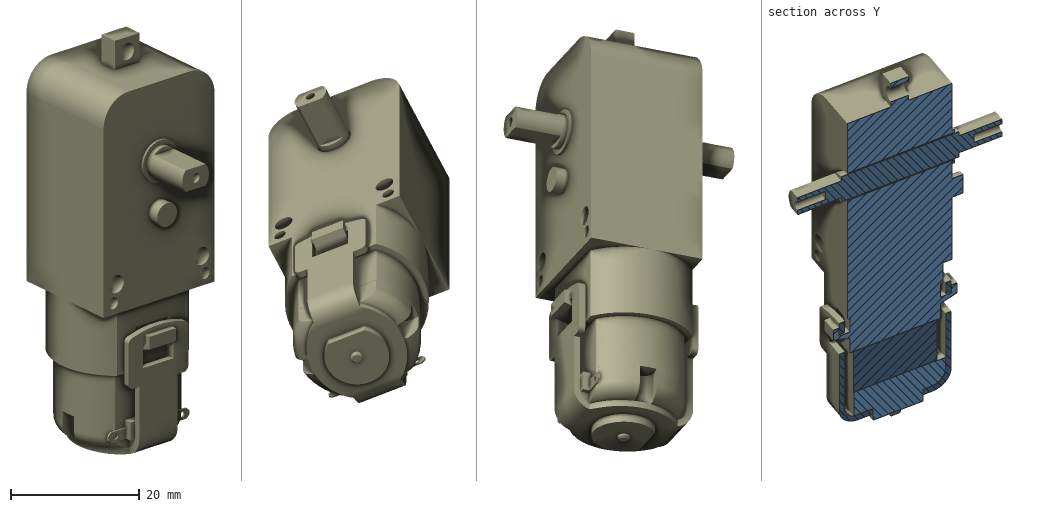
import cadquery as cq


TOTAL_HEIGHT = 70.25

BOX_WIDTH = 18.9
BOX_DEPTH = 22.5
BOX_HEIGHT = 37.15
BOX_CORNER_R = 5.0
TAB_WIDTH = 3.2
TAB_SIZE = 5.0
TAB_HOLE_D = 2.9
BIG_HOLE_D = 3.0
BIG_HOLE_Y = 8.65
BIG_HOLE_Z = 5.05
SMALL_HOLE_D = 2.0
SMALL_HOLE_Y = 9.3
SMALL_HOLE_Z = 2.0
SHAFT_BORE_D = 5.6
BEARING_BOSS_D = 7.2
BEARING_BOSS_LENGTH = 0.4
PEG_D = 4.0
PEG_LENGTH = 2.0
PEG_Z = 15.1

SHAFT_D = 5.4
SHAFT_LENGTH = 36.8
SHAFT_Z = 23.75
SHAFT_FLAT_HEIGHT = 3.65
SHAFT_LEFT_FLAT = 7.9
SHAFT_RIGHT_FLAT = 7.7
SHAFT_SCREW_D = 1.6
SHAFT_SCREW_DEPTH = 5.0

SEAT_D = BOX_DEPTH
SEAT_HALF_WIDTH = 8.65
SEAT_HEIGHT = 11.5
SEAT_RECESS_WIDTH = 6.8
SEAT_RECESS_TOP_Z = -4.2
SEAT_RECESS_DEPTH = 0.4
MOTOR_X = SEAT_HALF_WIDTH - BOX_WIDTH / 2

LUG_WIDTH = 5.35
LUG_REACH = 11.2
LUG_TOP_Z = -5.3
LUG_STEM_TOP_Z = -6.95
LUG_TIP_BOTTOM_Z = -7.45
LUG_ROOT_BOTTOM_Z = -8.35

CAN_D = 20.0
CAN_WIDTH = 15.0
CAN_HEIGHT = 8.6
CAN_EDGE_R = 0.55

CAP_WIDTH = 14.95
CAP_HEIGHT = 5.05
CAP_EDGE_R = 2.5
CAP_GROOVE_D = 2.9
CAP_GROOVE_Y = 8.2
CAP_BOSS_D = 10.1
CAP_BOSS_HEIGHT = 2.4
CAP_BOSS_FLAT_X = 4.0
BLOCK_DEPTH = 7.45
HOLDER_REACH = 8.85
HOLDER_DEPTH = 9.3
HOLDER_HEIGHT = 3.1
TERMINAL_THICKNESS = 0.3
TERMINAL_TIP_Y = 8.2
TERMINAL_HEIGHT = 1.8
TERMINAL_CHAMFER = 0.55
TERMINAL_HOLE_D = 1.0
TERMINAL_HOLE_Y = 6.75

TIP_D = 2.0
TIP_CHAMFER = 0.3

STRAP_HALF_WIDTH = 10.1
STRAP_THICKNESS = 1.05
STRAP_BEND_R = 3.5
STRAP_ARM_WIDTH = 7.8
STRAP_BASE_DEPTH = 15.45
HEAD_WIDTH = 12.1
HEAD_BOTTOM_Z = -13.8
HEAD_TOP_Z = -4.3
HEAD_SIDE_TOP_Z = -5.35
HEAD_CORNER_R = 0.9
WINDOW_WIDTH = 6.2
WINDOW_TOP_Z = -6.75
WINDOW_BOTTOM_Z = -10.8

SEAT_BOTTOM_Z = -SEAT_HEIGHT
CAN_BOTTOM_Z = SEAT_BOTTOM_Z - CAN_HEIGHT
CAP_BOTTOM_Z = CAN_BOTTOM_Z - CAP_HEIGHT
BOSS_BOTTOM_Z = CAP_BOTTOM_Z - CAP_BOSS_HEIGHT
TIP_HEIGHT = TOTAL_HEIGHT - (BOX_HEIGHT + TAB_SIZE) + BOSS_BOTTOM_Z
STRAP_BOTTOM_Z = CAP_BOTTOM_Z - STRAP_THICKNESS
STRAP_INNER = STRAP_HALF_WIDTH - STRAP_THICKNESS


def box(x0, x1, depth, z0, z1):
    """Box between two X and two Z values, centred on Y = 0."""
    return cq.Workplane().box(x1 - x0, depth, z1 - z0).translate(((x0 + x1) / 2, 0, (z0 + z1) / 2))


def rod_x(diameter, x0, x1, y, z):
    """Cylinder along X."""
    return cq.Workplane("YZ", origin=(x0, y, z)).circle(diameter / 2).extrude(x1 - x0)


def rod_z(diameter, z0, z1, x=MOTOR_X, y=0):
    """Cylinder along Z, on the motor axis unless placed elsewhere."""
    return cq.Workplane(origin=(x, y, z0)).circle(diameter / 2).extrude(z1 - z0)


def flatted_rod(diameter, width, z0, z1):
    """Cylinder on the motor axis with two flats facing -X and +X."""
    flats = box(MOTOR_X - width / 2, MOTOR_X + width / 2, diameter, z0, z1)
    return rod_z(diameter, z0, z1).intersect(flats)


def about_motor_axis(body):
    """Copy of a body turned half a turn about the motor axis."""
    return body.rotate((MOTOR_X, 0, 0), (MOTOR_X, 0, 1), 180)


def make_gearbox():
    side = BOX_WIDTH / 2
    body = box(-side, side, BOX_DEPTH, 0, BOX_HEIGHT)
    body = body.edges("|X and >Z").fillet(BOX_CORNER_R)
    tab_top = BOX_HEIGHT + TAB_SIZE
    body = body.union(box(-TAB_WIDTH / 2, TAB_WIDTH / 2, TAB_SIZE, BOX_HEIGHT, tab_top))
    boss_end = side + BEARING_BOSS_LENGTH
    body = body.union(rod_x(BEARING_BOSS_D, side, boss_end, 0, SHAFT_Z))
    body = body.union(rod_x(PEG_D, side, side + PEG_LENGTH, 0, PEG_Z))

    body = body.cut(rod_x(SHAFT_BORE_D, -side, boss_end, 0, SHAFT_Z))
    body = body.cut(rod_x(TAB_HOLE_D, -side, side, 0, BOX_HEIGHT + TAB_SIZE / 2))
    for sign in (-1, 1):
        body = body.cut(rod_x(BIG_HOLE_D, -side, side, sign * BIG_HOLE_Y, BIG_HOLE_Z))
        body = body.cut(rod_x(SMALL_HOLE_D, -side, side, sign * SMALL_HOLE_Y, SMALL_HOLE_Z))
    return body


def make_lug():
    """Hook on the -X side: a stem through the strap window and a head that rises outside it."""
    root = MOTOR_X - SEAT_HALF_WIDTH + SEAT_RECESS_DEPTH
    head_inner = MOTOR_X - STRAP_HALF_WIDTH
    outer = MOTOR_X - LUG_REACH
    outline = [
        (root, LUG_STEM_TOP_Z),
        (head_inner, LUG_STEM_TOP_Z),
        (head_inner, LUG_TOP_Z),
        (outer, LUG_TOP_Z),
        (outer, LUG_TIP_BOTTOM_Z),
        (root, LUG_ROOT_BOTTOM_Z),
    ]
    return cq.Workplane("XZ").polyline(outline).close().extrude(LUG_WIDTH / 2, both=True)


def make_motor_seat():
    body = flatted_rod(SEAT_D, 2 * SEAT_HALF_WIDTH, SEAT_BOTTOM_Z, 0)
    face_x = MOTOR_X - SEAT_HALF_WIDTH
    recess = box(face_x, face_x + SEAT_RECESS_DEPTH, SEAT_RECESS_WIDTH, SEAT_BOTTOM_Z, SEAT_RECESS_TOP_Z)
    lug = make_lug()
    body = body.cut(recess).cut(about_motor_axis(recess))
    return body.union(lug).union(about_motor_axis(lug))


def make_shaft():
    end = SHAFT_LENGTH / 2
    body = rod_x(SHAFT_D, -end, end, 0, SHAFT_Z)
    flat_low = SHAFT_Z - SHAFT_FLAT_HEIGHT / 2
    flat_high = SHAFT_Z + SHAFT_FLAT_HEIGHT / 2
    for x0, x1 in ((-end, -end + SHAFT_LEFT_FLAT), (end - SHAFT_RIGHT_FLAT, end)):
        body = body.cut(box(x0, x1, SHAFT_D, flat_high, flat_high + SHAFT_D))
        body = body.cut(box(x0, x1, SHAFT_D, flat_low - SHAFT_D, flat_low))
    body = body.cut(rod_x(SHAFT_SCREW_D, -end, -end + SHAFT_SCREW_DEPTH, 0, SHAFT_Z))
    return body.cut(rod_x(SHAFT_SCREW_D, end - SHAFT_SCREW_DEPTH, end, 0, SHAFT_Z))


def make_can():
    body = flatted_rod(CAN_D, CAN_WIDTH, CAN_BOTTOM_Z, SEAT_BOTTOM_Z)
    return body.edges("|Z").fillet(CAN_EDGE_R)


def make_terminal(side):
    """Thin tongue with a clipped tip, pointing to -Y (side -1) or +Y (side +1)."""
    x0 = MOTOR_X + CAP_WIDTH / 2
    z0 = CAN_BOTTOM_Z - HOLDER_HEIGHT
    z1 = z0 + TERMINAL_HEIGHT
    shoulder_y = side * (TERMINAL_TIP_Y - TERMINAL_CHAMFER)
    tip_y = side * TERMINAL_TIP_Y
    outline = [
        (0, z0),
        (shoulder_y, z0),
        (tip_y, z0 + TERMINAL_CHAMFER),
        (tip_y, z1 - TERMINAL_CHAMFER),
        (shoulder_y, z1),
        (0, z1),
    ]
    body = cq.Workplane("YZ", origin=(x0, 0, 0)).polyline(outline).close().extrude(TERMINAL_THICKNESS)
    hole = rod_x(TERMINAL_HOLE_D, x0, x0 + TERMINAL_THICKNESS, side * TERMINAL_HOLE_Y, (z0 + z1) / 2)
    return body.cut(hole)


def make_trough(half_width, bottom_z, bend_radius):
    """Block with two rounded bottom edges, from the strap bottom up to the strap top."""
    body = box(MOTOR_X - half_width, MOTOR_X + half_width, BOX_DEPTH, bottom_z, HEAD_TOP_Z)
    return body.edges("|Y and <Z").fillet(bend_radius)


def make_strap_inside():
    """Space inside the bent strap."""
    return make_trough(STRAP_INNER, CAP_BOTTOM_Z, STRAP_BEND_R - STRAP_THICKNESS)


def make_cap_groove(side):
    """Upright U-shaped groove open to -Y (side -1) or +Y (side +1)."""
    root_y = side * CAP_GROOVE_Y
    root = rod_z(CAP_GROOVE_D, CAP_BOTTOM_Z, CAN_BOTTOM_Z, y=root_y)
    half = CAP_GROOVE_D / 2
    mouth = box(MOTOR_X - half, MOTOR_X + half, CAN_D / 2, CAP_BOTTOM_Z, CAN_BOTTOM_Z)
    return root.union(mouth.translate((0, root_y + side * CAN_D / 4, 0)))


def make_cap():
    body = rod_z(CAN_D, CAP_BOTTOM_Z, CAN_BOTTOM_Z).faces("<Z").edges().fillet(CAP_EDGE_R)
    half = CAP_WIDTH / 2
    body = body.intersect(box(MOTOR_X - half, MOTOR_X + half, CAN_D, CAP_BOTTOM_Z, CAN_BOTTOM_Z))
    for sign in (-1, 1):
        body = body.cut(make_cap_groove(sign))

    body = body.union(box(MOTOR_X, MOTOR_X + STRAP_INNER, BLOCK_DEPTH, CAP_BOTTOM_Z, CAN_BOTTOM_Z))
    body = body.intersect(make_strap_inside())
    holder_z = CAN_BOTTOM_Z - HOLDER_HEIGHT
    body = body.union(box(MOTOR_X, MOTOR_X + HOLDER_REACH, HOLDER_DEPTH, holder_z, CAN_BOTTOM_Z))
    for side in (-1, 1):
        body = body.union(make_terminal(side))
    return body.union(make_cap_boss())


def make_cap_boss():
    """Round boss with one flat, reaching down through the strap."""
    boss = rod_z(CAP_BOSS_D, BOSS_BOTTOM_Z, CAP_BOTTOM_Z)
    keep = box(MOTOR_X - CAP_BOSS_FLAT_X, MOTOR_X + CAP_BOSS_D, CAP_BOSS_D, BOSS_BOTTOM_Z, CAP_BOTTOM_Z)
    return boss.intersect(keep)


def make_tip():
    tip = rod_z(TIP_D, BOSS_BOTTOM_Z - TIP_HEIGHT, BOSS_BOTTOM_Z)
    return tip.faces("<Z").chamfer(TIP_CHAMFER)


def make_strap_head():
    """Both strap heads with their windows, as one block across the whole strap."""
    half = HEAD_WIDTH / 2
    head = (
        cq.Workplane("YZ", origin=(MOTOR_X - STRAP_HALF_WIDTH, 0, 0))
        .moveTo(-half, HEAD_BOTTOM_Z)
        .lineTo(half, HEAD_BOTTOM_Z)
        .lineTo(half, HEAD_SIDE_TOP_Z)
        .threePointArc((0, HEAD_TOP_Z), (-half, HEAD_SIDE_TOP_Z))
        .close()
        .extrude(2 * STRAP_HALF_WIDTH)
    )
    head = head.edges("|X").fillet(HEAD_CORNER_R)
    x0 = MOTOR_X - STRAP_HALF_WIDTH
    x1 = MOTOR_X + STRAP_HALF_WIDTH
    return head.cut(box(x0, x1, WINDOW_WIDTH, WINDOW_BOTTOM_Z, WINDOW_TOP_Z))


def make_strap_base():
    """Bottom plate, bulging out to both sides between the arms."""
    half_x = CAP_WIDTH / 2
    half_y = STRAP_ARM_WIDTH / 2
    return (
        cq.Workplane(origin=(MOTOR_X, 0, STRAP_BOTTOM_Z))
        .moveTo(-half_x, -half_y)
        .threePointArc((0, -STRAP_BASE_DEPTH / 2), (half_x, -half_y))
        .lineTo(half_x, half_y)
        .threePointArc((0, STRAP_BASE_DEPTH / 2), (-half_x, half_y))
        .close()
        .extrude(STRAP_THICKNESS)
    )


def make_strap():
    channel = make_trough(STRAP_HALF_WIDTH, STRAP_BOTTOM_Z, STRAP_BEND_R)
    channel = channel.cut(make_strap_inside())
    x0 = MOTOR_X - STRAP_HALF_WIDTH
    x1 = MOTOR_X + STRAP_HALF_WIDTH
    arms = box(x0, x1, STRAP_ARM_WIDTH, STRAP_BOTTOM_Z, HEAD_BOTTOM_Z)
    outline = arms.union(make_strap_head()).union(make_strap_base())
    return channel.intersect(outline).cut(make_cap_boss())


gearbox = make_gearbox().union(make_motor_seat())
shaft = make_shaft()
can = make_can()
cap = make_cap()
tip = make_tip()
strap = make_strap()

result = cq.Compound.makeCompound(
    [gearbox.val(), shaft.val(), can.val(), cap.val(), tip.val(), strap.val()]
)